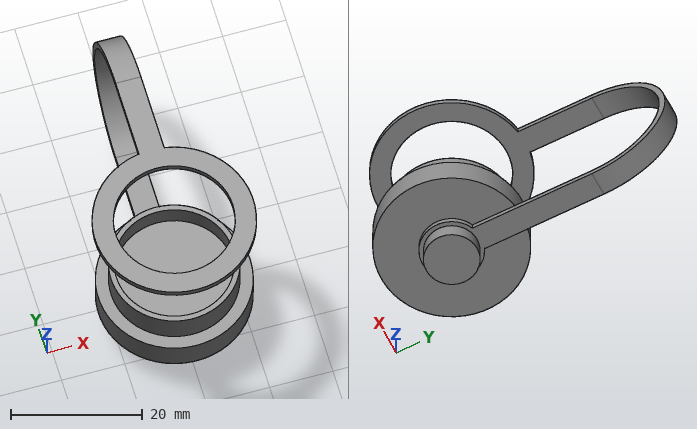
import cadquery as cq

ring_diameter = 25.0
ring_hole_diameter = 18.5
strap_thickness = 1.0
strap_width = 4.0
bend_radius = 12.5
bend_center_y = 25.0

skirt_diameter = 24.0
skirt_height = 5.0
neck_diameter = 20.0
neck_height = 5.0
bore_diameter = 18.3
bore_depth = 3.5

flange_diameter = 10.0
stud_diameter = 8.6
stud_height = 2.85

ring_bottom_z = 2 * bend_radius - strap_thickness
skirt_bottom_z = strap_thickness
neck_bottom_z = skirt_bottom_z + skirt_height
cap_top_z = neck_bottom_z + neck_height


def disc(diameter, height, bottom_z):
    """Upright cylinder on the cap axis."""
    return cq.Workplane("XY").workplane(offset=bottom_z).circle(diameter / 2).extrude(height)


def make_cap():
    """Stepped cap with a blind bore in its top and a rivet below."""
    cap = disc(skirt_diameter, skirt_height, skirt_bottom_z)
    cap = cap.union(disc(neck_diameter, neck_height, neck_bottom_z))
    cap = cap.cut(disc(bore_diameter, bore_depth, cap_top_z - bore_depth))
    cap = cap.union(disc(flange_diameter, strap_thickness, 0))
    return cap.union(disc(stud_diameter, stud_height, -stud_height))


def make_strap():
    """U-shaped strap running from the cap axis around the bend and back."""
    inner_radius = bend_radius - strap_thickness
    return (
        cq.Workplane("YZ")
        .lineTo(bend_center_y, 0)
        .threePointArc((bend_center_y + bend_radius, bend_radius), (bend_center_y, 2 * bend_radius))
        .lineTo(0, 2 * bend_radius)
        .lineTo(0, ring_bottom_z)
        .lineTo(bend_center_y, ring_bottom_z)
        .threePointArc((bend_center_y + inner_radius, bend_radius), (bend_center_y, strap_thickness))
        .lineTo(0, strap_thickness)
        .close()
        .extrude(strap_width / 2, both=True)
    )


def make_holder():
    """Strap joined to the flat ring, with the ring hole cut clear."""
    holder = make_strap().union(disc(ring_diameter, strap_thickness, ring_bottom_z))
    return holder.cut(disc(ring_hole_diameter, strap_thickness, ring_bottom_z))


result = make_holder().union(make_cap())